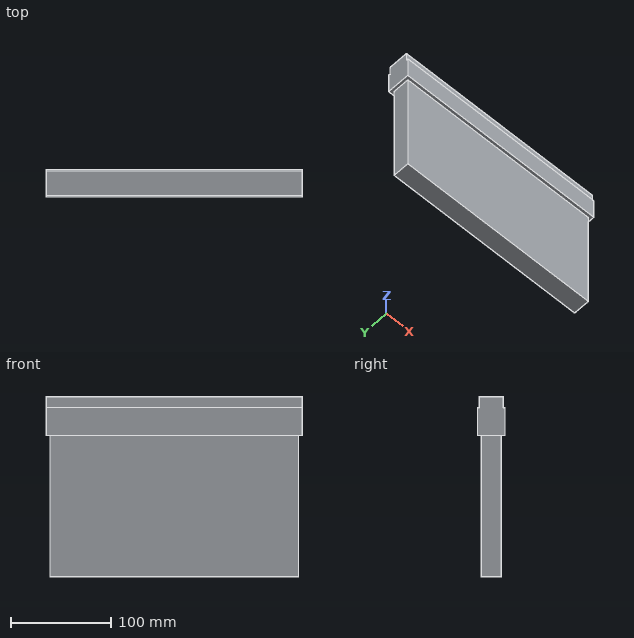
import cadquery as cq

length = 256.0
total_height = 180.0

rail_thickness = 28.0
rail_height = 28.0

cap_thickness = 24.0
cap_height = 11.0

plate_end_setback = 3.8
plate_length = length - 2 * plate_end_setback
plate_thickness = 20.0
plate_height = total_height - rail_height - cap_height


def centered_block(x_size, y_size, height, bottom):
    """Block centred in X and Y that stands on the given Z level."""
    return (
        cq.Workplane("XY")
        .workplane(offset=bottom)
        .rect(x_size, y_size)
        .extrude(height)
    )


plate = centered_block(plate_length, plate_thickness, plate_height, 0)
rail = centered_block(length, rail_thickness, rail_height, plate_height)
cap = centered_block(length, cap_thickness, cap_height, plate_height + rail_height)

result = plate.union(rail).union(cap)